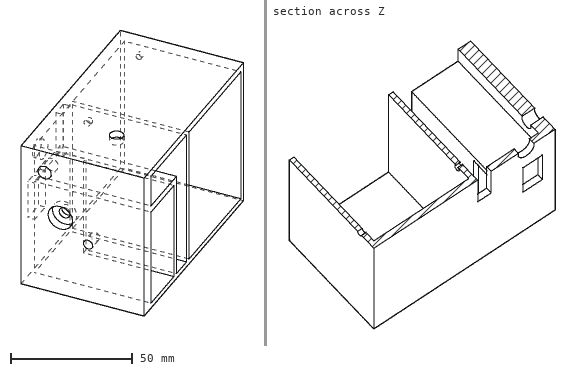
import cadquery as cq

WIDTH, LENGTH, HEIGHT = 56.0, 95.0, 68.0
SIDE_WALL = 3.0
ROOF = 3.0
FLOOR = 2.5
FRONT_WALL = 6.65
BACK_WALL = 2.5
PARTITION = 2.5

TALL_SLOT_Y = (33.5, 40.6)
TALL_SLOT_Z = (43.3, 64.2)
LOW_WINDOW_Y = (6.7, 16.9)
LOW_WINDOW_Z = (28.6, 46.5)
SIDE_HOLE_Y, SIDE_HOLE_DIAMETER = 15.2, 8.3

SHELF_TOP = 50.35
SHELF_THICKNESS = 3.0
SHELF_END_Y = 31.0

SUPPORT_THICKNESS = 2.5
SUPPORT_X = 14.8

GUIDE_X, GUIDE_Z = 10.7, 57.9
GUIDE_DIAMETER = 6.0
PARTITION_HOLE_DIAMETER = 2.8
BACK_HOLE_DIAMETER = 2.4
BACK_HOLE_OFFSET = 1.2
BORE_X, BORE_Z = 17.9, 37.6
BORE_DIAMETER, COUNTERBORE_DIAMETER, COUNTERBORE_DEPTH = 4.9, 11.0, 4.2
PIN_X, PIN_Z, PIN_DIAMETER = 30.5, 28.0, 4.2

ROOF_HOLE_X, ROOF_HOLE_Y, ROOF_HOLE_DIAMETER = 32.0, 24.0, 6.0

PARTITION_Y = TALL_SLOT_Y[1]


def block(x_range, y_range, z_range):
    """Box spanning the given start and end along each axis."""
    start, end = zip(x_range, y_range, z_range)
    sizes = [b - a for a, b in zip(start, end)]
    return cq.Workplane("XY").box(*sizes, centered=False).translate(start)


def rod_along_y(x, z, diameter, start, depth):
    """Cylinder running in +Y from the given start."""
    return cq.Workplane(cq.Solid.makeCylinder(
        diameter / 2, depth, cq.Vector(x, start, z), cq.Vector(0, 1, 0)))


def chamber(y_start, y_end):
    """Space between the side wall and the open side."""
    return block((SIDE_WALL, WIDTH), (y_start, y_end), (FLOOR, HEIGHT - ROOF))


result = block((0, WIDTH), (0, LENGTH), (0, HEIGHT))
result = result.cut(chamber(FRONT_WALL, PARTITION_Y))
result = result.cut(chamber(PARTITION_Y + PARTITION, LENGTH - BACK_WALL))

result = result.union(block(
    (0, WIDTH), (0, SHELF_END_Y), (SHELF_TOP - SHELF_THICKNESS, SHELF_TOP)))

result = result.union(block(
    (SUPPORT_X, WIDTH), (SHELF_END_Y - SUPPORT_THICKNESS, SHELF_END_Y), (0, SHELF_TOP)))

for y_range, z_range in ((TALL_SLOT_Y, TALL_SLOT_Z), (LOW_WINDOW_Y, LOW_WINDOW_Z)):
    result = result.cut(block((0, SIDE_WALL), y_range, z_range))
side_hole = cq.Solid.makeCylinder(
    SIDE_HOLE_DIAMETER / 2, SIDE_WALL, cq.Vector(0, SIDE_HOLE_Y, GUIDE_Z), cq.Vector(1, 0, 0))
result = result.cut(cq.Workplane(side_hole))

for hole in (
    (GUIDE_X, GUIDE_Z, GUIDE_DIAMETER, 0, FRONT_WALL),
    (GUIDE_X, GUIDE_Z, PARTITION_HOLE_DIAMETER, PARTITION_Y, PARTITION),
    (GUIDE_X - BACK_HOLE_OFFSET, GUIDE_Z + BACK_HOLE_OFFSET, BACK_HOLE_DIAMETER,
     LENGTH - BACK_WALL, BACK_WALL),
    (BORE_X, BORE_Z, BORE_DIAMETER, 0, FRONT_WALL),
    (BORE_X, BORE_Z, COUNTERBORE_DIAMETER, 0, COUNTERBORE_DEPTH),
    (PIN_X, PIN_Z, PIN_DIAMETER, 0, FRONT_WALL),
):
    result = result.cut(rod_along_y(*hole))

roof_hole = cq.Solid.makeCylinder(
    ROOF_HOLE_DIAMETER / 2, ROOF, cq.Vector(ROOF_HOLE_X, ROOF_HOLE_Y, HEIGHT - ROOF))
result = result.cut(cq.Workplane(roof_hole))